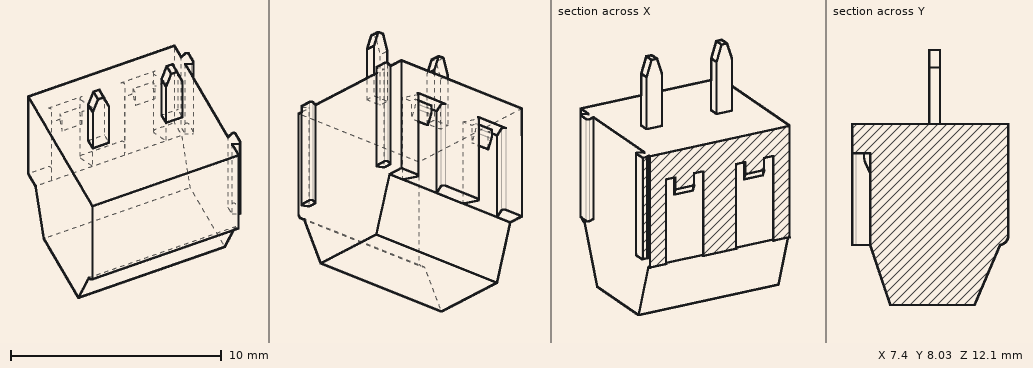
import cadquery as cq
import math

total_height = 12.1
pole_count = 2
pole_pitch = 3.81
body_width = 7.4
body_length = 7.61
body_top = 8.59
front_draft = 0.01

shoulder_height = 2.84
ledge_depth = 0.85
foot_left = 1.8
foot_right = 5.81
foot_shoulder_right = 7.02
corner_height = 0.36
corner_radius = 0.51

pin_center_x = 3.91
pin_thickness = 0.52
pin_width = 0.85
pin_tip_width = 0.3
pin_tip_height = 0.83

dovetail_angle = math.radians(25)
rail_inset = 1.0
rail_base_width = 0.46
rail_height = 0.41
rail_bottom = 3.35
rail_corner_radius = 0.1

slot_mouth_width = 1.35
slot_top = 7.2
slot_mouth_radius = 0.13

catch_width = 1.03
catch_bottom = 6.27
catch_projection = 0.28
catch_angle = math.radians(25)
catch_radius = 0.56

first_pole_y = (body_length - (pole_count - 1) * pole_pitch) / 2
pole_positions = [first_pole_y + index * pole_pitch for index in range(pole_count)]


def make_body():
    """Block with a tapered foot, a rounded corner and a -Y face that leans out toward the bottom."""
    block = (
        cq.Workplane("XZ", origin=(0, -front_draft, 0))
        .moveTo(0, body_top)
        .lineTo(0, shoulder_height)
        .lineTo(ledge_depth, shoulder_height)
        .lineTo(foot_left, 0)
        .lineTo(foot_right, 0)
        .lineTo(foot_shoulder_right, shoulder_height)
        .radiusArc((body_width, shoulder_height + corner_height), -corner_radius)
        .lineTo(body_width, body_top)
        .close()
        .extrude(-(body_length + front_draft))
    )
    draft_wedge = (
        cq.Workplane("YZ")
        .moveTo(-front_draft, 0)
        .lineTo(0, body_top)
        .lineTo(-front_draft, body_top)
        .close()
        .extrude(body_width)
    )
    return block.cut(draft_wedge)


def make_pin(y):
    """Flat pin with a symmetric tapered tip, standing on the body top."""
    return (
        cq.Workplane("YZ", origin=(pin_center_x, y, 0))
        .moveTo(-pin_width / 2, body_top)
        .lineTo(pin_width / 2, body_top)
        .lineTo(pin_width / 2, total_height - pin_tip_height)
        .lineTo(pin_tip_width / 2, total_height)
        .lineTo(-pin_tip_width / 2, total_height)
        .lineTo(-pin_width / 2, total_height - pin_tip_height)
        .close()
        .extrude(pin_thickness / 2, both=True)
    )


def make_rail(x):
    """Upright dovetail rail that widens away from the +Y face, with rounded outer edges."""
    base_half = rail_base_width / 2
    outer_half = base_half + rail_height * math.tan(dovetail_angle)
    return (
        cq.Workplane("XY", origin=(x, body_length, rail_bottom))
        .moveTo(-base_half, 0)
        .lineTo(base_half, 0)
        .lineTo(outer_half, rail_height)
        .lineTo(-outer_half, rail_height)
        .close()
        .extrude(body_top - rail_bottom)
        .edges("|Z and >Y")
        .fillet(rail_corner_radius)
    )


def cut_slot(body, y):
    """Cut an upright slot that widens inward, then round the two edges of its mouth."""
    mouth_half = slot_mouth_width / 2
    floor_half = mouth_half + ledge_depth * math.tan(dovetail_angle)
    cutter = (
        cq.Workplane("XY", origin=(0, y, shoulder_height))
        .moveTo(0, -mouth_half)
        .lineTo(ledge_depth, -floor_half)
        .lineTo(ledge_depth, floor_half)
        .lineTo(0, mouth_half)
        .close()
        .extrude(slot_top - shoulder_height)
    )
    slot_middle = (shoulder_height + slot_top) / 2
    body = body.cut(cutter)
    for side in (-1, 1):
        mouth_edge = cq.selectors.NearestToPointSelector((0, y + side * mouth_half, slot_middle))
        body = body.edges("|Z").edges(mouth_edge).fillet(slot_mouth_radius)
    return body


def make_catch(y):
    """Block hanging from the slot top, with a rounded nose and an inclined underside."""
    nose_x = ledge_depth - catch_projection
    arc_depth = catch_radius * (1 - math.cos(catch_angle))
    arc_height = catch_radius * math.sin(catch_angle)
    slope_top = catch_bottom + (catch_projection - arc_depth) / math.tan(catch_angle)
    return (
        cq.Workplane("XZ", origin=(0, y, 0))
        .moveTo(ledge_depth, catch_bottom)
        .lineTo(nose_x + arc_depth, slope_top)
        .radiusArc((nose_x, slope_top + arc_height), catch_radius)
        .lineTo(nose_x, slot_top)
        .lineTo(ledge_depth, slot_top)
        .close()
        .extrude(catch_width / 2, both=True)
    )


result = make_body()
for rail_x in (rail_inset, body_width - rail_inset):
    result = result.union(make_rail(rail_x))
for pole_y in pole_positions:
    result = cut_slot(result, pole_y)
    result = result.union(make_catch(pole_y))
    result = result.union(make_pin(pole_y))